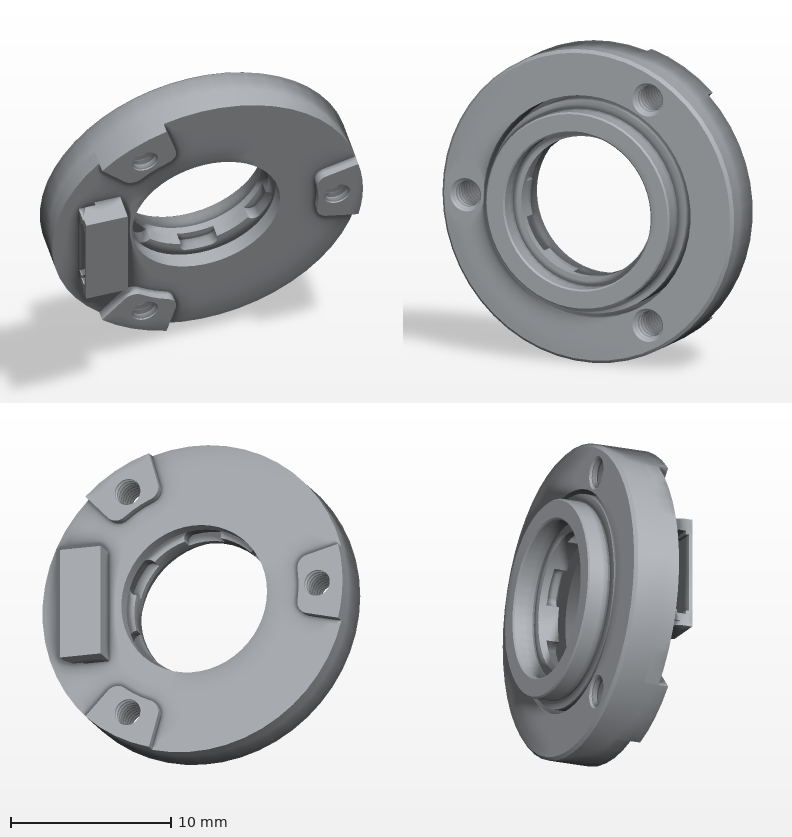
import cadquery as cq
import math

RELIEF_START = 1.32
HOUSING_FRONT = 1.5
NOTCH_FRONT = 2.0
INNER_WALL_END = 2.85
BOARD_FRONT = 3.5
BOARD_BACK = 4.5
TAB_END = 5.15
CONNECTOR_BACK = 6.2

OUTER_DIAMETER = 20.0
HOUSING_BORE = 14.2
HOUSING_CHAMFER = 0.2
TAB_COUNT = 3
TAB_HALF_ANGLE = 14.0
TAB_FILLET = 0.8
HOLE_PITCH_RADIUS = 8.32
HOLE_DIAMETER = 1.68
COUNTERSINK_DIAMETER = 2.12
THREAD_DIAMETER = 2.08
THREAD_PITCH = 0.4
THREAD_HALF_WIDTH = 0.15

COLLAR_DIAMETER = 12.6
COLLAR_BORE = 10.0
COLLAR_CHAMFER = 0.1
RELIEF_DEPTH = 0.1
MOUNT_DIAMETER = 13.6
MOUNT_BORE = 9.0
MOUNT_COUNTERBORE = 12.8
NOTCH_COUNT = 6
NOTCH_HALF_ANGLE = 15.2
NOTCH_FLOOR_DIAMETER = 10.2
NOTCH_FILLET = 0.48

BOARD_BORE = 9.6

CONNECTOR_LENGTH = 7.05
CONNECTOR_MOUTH_Y = -8.28
LATCH_Y = -5.88
LATCH_WIDTH = 0.3
CAVITY_START = 4.68
CAVITY_END = 5.98
CAVITY_LENGTH = 5.0
KEYWAY_START = 5.15
KEYWAY_END = 5.75
KEYWAY_LENGTH = 5.48
END_RECESS_DEPTH = 0.3
END_RECESS_INNER_Y = -7.25
END_RECESS_CORNER_Y = -7.9
END_RECESS_STEP_X = 4.75
END_RECESS_MOUTH_X = 5.55

CLEARANCE = 1.0


def disc(diameter, start, end):
    """Round bar along the X axis between two stations."""
    return cq.Workplane("YZ").workplane(offset=start).circle(diameter / 2).extrude(end - start)


def tube(outer, inner, start, end):
    return disc(outer, start, end).cut(disc(inner, start, end))


def revolved(profile):
    """Solid from a closed (x, radius) profile turned about the X axis."""
    return cq.Workplane("XY").polyline(profile).close().revolve(360, (0, 0), (1, 0))


def ring_of(shape, count, first_angle=0):
    """Equally spaced copies of a shape around the X axis."""
    step = 360 / count
    return [shape.rotate((0, 0, 0), (1, 0, 0), first_angle + i * step) for i in range(count)]


def ring_sector(outer, inner, half_angle, start, end):
    """Piece of a tube with radial sides, centred on the +Y direction."""
    side_y = outer * math.cos(math.radians(half_angle))
    side_z = outer * math.sin(math.radians(half_angle))
    wedge = (
        cq.Workplane("YZ")
        .workplane(offset=start)
        .polyline([(0, 0), (side_y, -side_z), (side_y, side_z)])
        .close()
        .extrude(end - start)
    )
    return tube(outer, inner, start, end).intersect(wedge)


def make_tabs():
    """Tab shapes with rounded inner corners, reaching past the housing's rim."""
    outer = OUTER_DIAMETER + 2 * CLEARANCE
    tab = ring_sector(outer, HOUSING_BORE, TAB_HALF_ANGLE, BOARD_FRONT, TAB_END)
    tab = tab.edges("|X").edges("<Y").fillet(TAB_FILLET)
    return ring_of(tab, TAB_COUNT)


def make_tapped_hole():
    """Countersunk through hole with V-shaped thread grooves."""
    radius = HOLE_DIAMETER / 2
    sink_radius = COUNTERSINK_DIAMETER / 2
    hole = disc(HOLE_DIAMETER, HOUSING_FRONT, TAB_END)
    countersink = revolved(
        [(HOUSING_FRONT, 0), (HOUSING_FRONT, sink_radius), (HOUSING_FRONT + sink_radius, 0)]
    )
    hole = hole.union(countersink)
    groove_count = math.floor((TAB_END - HOUSING_FRONT) / THREAD_PITCH)
    for i in range(groove_count):
        root_x = HOUSING_FRONT + (i + 0.5) * THREAD_PITCH
        groove = revolved(
            [
                (root_x - THREAD_HALF_WIDTH, 0),
                (root_x - THREAD_HALF_WIDTH, radius),
                (root_x, THREAD_DIAMETER / 2),
                (root_x + THREAD_HALF_WIDTH, radius),
                (root_x + THREAD_HALF_WIDTH, 0),
            ]
        )
        hole = hole.union(groove)
    return hole.translate((0, HOLE_PITCH_RADIUS, 0))


def make_housing():
    housing = disc(OUTER_DIAMETER, HOUSING_FRONT, TAB_END).faces("<X").chamfer(HOUSING_CHAMFER)
    housing = housing.cut(disc(HOUSING_BORE, HOUSING_FRONT, TAB_END))
    space_between_tabs = disc(OUTER_DIAMETER + CLEARANCE, BOARD_FRONT, TAB_END)
    for tab in make_tabs():
        space_between_tabs = space_between_tabs.cut(tab)
    housing = housing.cut(space_between_tabs)
    for hole in ring_of(make_tapped_hole(), TAB_COUNT):
        housing = housing.cut(hole)
    return housing


def make_board():
    board = tube(OUTER_DIAMETER, BOARD_BORE, BOARD_FRONT, BOARD_BACK)
    for tab in make_tabs():
        board = board.cut(tab)
    return board


def make_mount_blank():
    """Mount of revolution, before its notches are cut."""
    collar_radius = COLLAR_DIAMETER / 2
    bore_radius = COLLAR_BORE / 2
    body_radius = MOUNT_DIAMETER / 2
    return revolved(
        [
            (0, bore_radius + COLLAR_CHAMFER),
            (0, collar_radius - COLLAR_CHAMFER),
            (COLLAR_CHAMFER, collar_radius),
            (RELIEF_START, collar_radius),
            (RELIEF_START, collar_radius - RELIEF_DEPTH),
            (HOUSING_FRONT, collar_radius - RELIEF_DEPTH),
            (HOUSING_FRONT, body_radius),
            (BOARD_FRONT, body_radius),
            (BOARD_FRONT, MOUNT_COUNTERBORE / 2),
            (INNER_WALL_END, MOUNT_COUNTERBORE / 2),
            (INNER_WALL_END, MOUNT_BORE / 2),
            (HOUSING_FRONT, MOUNT_BORE / 2),
            (HOUSING_FRONT, bore_radius + RELIEF_DEPTH),
            (RELIEF_START, bore_radius + RELIEF_DEPTH),
            (RELIEF_START, bore_radius),
            (COLLAR_CHAMFER, bore_radius),
        ]
    )


def make_mount():
    mount = make_mount_blank()
    notch = ring_sector(
        NOTCH_FLOOR_DIAMETER,
        MOUNT_BORE - CLEARANCE,
        NOTCH_HALF_ANGLE,
        NOTCH_FRONT,
        INNER_WALL_END,
    )
    notch = notch.edges("|X").edges(">Y").fillet(NOTCH_FILLET)
    for cutter in ring_of(notch, NOTCH_COUNT, first_angle=180 / NOTCH_COUNT):
        mount = mount.cut(cutter)
    return mount


def block(start, end, low_y, high_y, length):
    """Box between two X stations and two Y positions, centred on Z."""
    box = cq.Workplane("XY").box(end - start, high_y - low_y, length, centered=(False, False, True))
    return box.translate((start, low_y, 0))


def make_connector():
    connector = block(BOARD_BACK, CONNECTOR_BACK, CONNECTOR_MOUTH_Y, LATCH_Y, CONNECTOR_LENGTH)
    cavity = block(CAVITY_START, CAVITY_END, CONNECTOR_MOUTH_Y, LATCH_Y, CAVITY_LENGTH)
    keyways = block(KEYWAY_START, KEYWAY_END, CONNECTOR_MOUTH_Y, LATCH_Y, KEYWAY_LENGTH)
    end_recess = (
        cq.Workplane("XY")
        .workplane(offset=CONNECTOR_LENGTH / 2 - END_RECESS_DEPTH)
        .polyline(
            [
                (BOARD_BACK, END_RECESS_INNER_Y),
                (END_RECESS_STEP_X, END_RECESS_INNER_Y),
                (END_RECESS_STEP_X, END_RECESS_CORNER_Y),
                (END_RECESS_MOUTH_X, CONNECTOR_MOUTH_Y),
                (BOARD_BACK, CONNECTOR_MOUTH_Y),
            ]
        )
        .close()
        .extrude(END_RECESS_DEPTH)
    )
    connector = connector.cut(cavity).cut(keyways)
    return connector.cut(end_recess).cut(end_recess.mirror("XY"))


def make_latch():
    return block(BOARD_BACK, CONNECTOR_BACK, LATCH_Y, LATCH_Y + LATCH_WIDTH, CONNECTOR_LENGTH)


housing = make_housing()
board = make_board()
mount = make_mount()
connector = make_connector()
latch = make_latch()

result = cq.Compound.makeCompound(
    [housing.val(), board.val(), mount.val(), connector.val(), latch.val()]
)